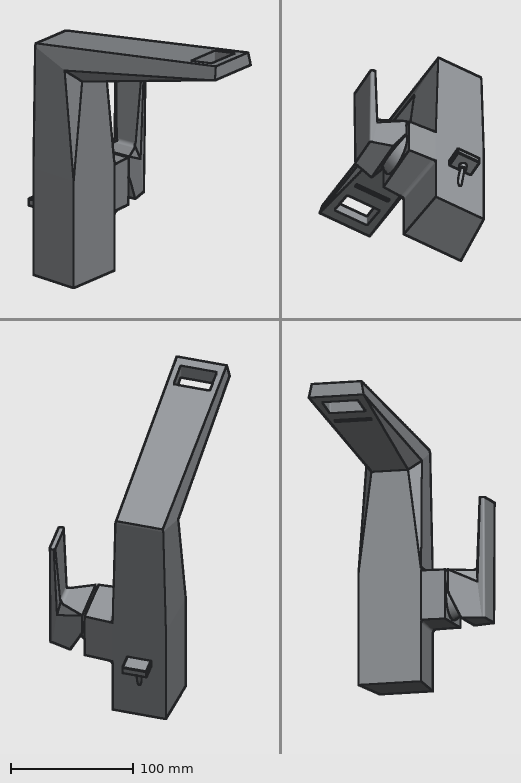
import cadquery as cq
import math


column_depth = 45.5
rear_half_width = 22.5
front_half_width = 26.9
shoulder_height = 92.5
rear_top_half_width = 20.4

band_rear_height = 198.0
top_rear_height = 200.5
top_tip_height = 223.9
band_height = top_rear_height - band_rear_height
band_inset = 0.55
band_rear_inset = 0.34
tip_top_x = 189.5
tip_bottom_x = 190.3
tip_bottom_height = 212.5
tip_bottom_half_width = 23.5
elbow_x = 33.5
elbow_height = 185.5
throat_height = 176.5
throat_half_width = 15.7

window_start_x = 159.0
window_length = 21.3
window_width = 30.7
window_radius = 1.0

outlet_x = 144.5
outlet_size = 2.7
outlet_drop = 0.55

block_bottom = 51.3
block_top = 92.2
block_root_y = 11.2
block_end_y = 46.8
block_end_inset = 1.5
block_flare = 3.0
block_middle_z = (block_bottom + block_top) / 2
middle_x = column_depth / 2
ball_center_y = 39.2
ball_radius = 19.5

handle_outer_y = 78.5
handle_top = 151.8
handle_bottom = 51.7
handle_inner_y = 49.0
handle_base_y = 59.8
handle_knee_height = 73.7
plate_top_half_width = 14.8
plate_bottom_half_width = 13.2
plate_back_radius = 1.8
hub_half_width = 20.4
plate_tip_y = 73.9
plate_root_y = 70.5
hub_fillet = 3.5
seam_y = 72.3
seam_height = 82.0
seam_bottom_y = 76.1
bevel_tip_y = 74.8
bevel_root_half_width = 9.6

knob_length = 15.0
knob_width = 20.5
knob_bottom = 53.3
knob_top = 59.5
knob_chamfer = 0.5
rod_top_x = -5.1
rod_tilt = 18.0
rod_diameter = 3.8
rod_length = 26.9
collar_diameter = 6.3
collar_length = 3.4


def plane_y(p, q, r, x, z):
    """Y at (x, z) on the plane through three points."""
    normal = (cq.Vector(*q) - cq.Vector(*p)).cross(cq.Vector(*r) - cq.Vector(*p))
    return p[1] - (normal.x * (x - p[0]) + normal.z * (z - p[2])) / normal.y


def polygon_face(points):
    return cq.Face.makeFromWires(cq.Wire.makePolygon([cq.Vector(*p) for p in points], close=True))


def mirrored(points):
    return [(x, -y, z) for x, y, z in points]


def column_and_spout():
    """Faceted shell, symmetric about Y = 0; the named corners are those on the +Y side."""
    base_rear = (0, rear_half_width, 0)
    base_front = (column_depth, front_half_width, 0)
    shoulder_rear = (0, rear_half_width, shoulder_height)
    shoulder_front = (column_depth, front_half_width, shoulder_height)
    band_rear = (0, rear_top_half_width, band_rear_height)
    top_rear = (band_rear_inset, rear_top_half_width - band_inset, top_rear_height)
    throat = (column_depth, throat_half_width, throat_height)
    tip_bottom = (tip_bottom_x, tip_bottom_half_width, tip_bottom_height)

    elbow_y = plane_y(shoulder_rear, shoulder_front, band_rear, elbow_x, elbow_height)
    elbow = (elbow_x, elbow_y, elbow_height)

    band_tip_height = top_tip_height - band_height
    end_slope = (tip_top_x - tip_bottom_x) / (top_tip_height - tip_bottom_height)
    band_tip_x = tip_top_x - end_slope * band_height
    band_tip_y = plane_y(band_rear, elbow, tip_bottom, band_tip_x, band_tip_height)
    band_tip = (band_tip_x, band_tip_y, band_tip_height)
    top_tip_y = plane_y(band_rear, top_rear, band_tip, tip_top_x, top_tip_height)
    top_tip = (tip_top_x, top_tip_y, top_tip_height)

    side_faces = [
        [base_rear, base_front, shoulder_front, shoulder_rear],
        [shoulder_rear, shoulder_front, elbow, band_rear],
        [shoulder_front, throat, elbow],
        [elbow, throat, tip_bottom],
        [band_rear, elbow, tip_bottom, band_tip],
        [band_rear, band_tip, top_tip, top_rear],
    ]
    middle_faces = [
        [base_rear, base_front],
        [base_rear, shoulder_rear, band_rear],
        [band_rear, top_rear],
        [base_front, shoulder_front, throat],
        [throat, tip_bottom],
        [tip_bottom, band_tip, top_tip],
        [top_rear, top_tip],
    ]
    outlines = side_faces + [mirrored(points) for points in side_faces]
    outlines += [points + mirrored(points)[::-1] for points in middle_faces]
    shell = cq.Shell.makeShell([polygon_face(points) for points in outlines])
    return cq.Workplane(obj=cq.Solid.makeSolid(shell).fix())


def window():
    return (
        cq.Workplane("XY", origin=(window_start_x + window_length / 2, 0, elbow_height))
        .rect(window_length, window_width)
        .extrude(top_tip_height - elbow_height)
        .edges("|Z")
        .fillet(window_radius)
    )


def outlet_rim():
    underside_slope = (tip_bottom_height - throat_height) / (tip_bottom_x - column_depth)
    underside_z = throat_height + underside_slope * (outlet_x - column_depth)
    return (
        cq.Workplane("XY")
        .box(outlet_size, window_width, 2 * outlet_drop)
        .rotate((0, 0, 0), (0, 1, 0), -math.degrees(math.atan(underside_slope)))
        .translate((outlet_x, 0, underside_z))
    )


def flare(edge_z, away):
    """Concave fillet between the block and the column wall; away is +1 above the block, -1 below."""
    start = (0, rear_half_width - block_flare, edge_z)
    reach = block_flare * (1 - math.sqrt(0.5))
    block_tangent = 2 * block_flare
    profile = (
        cq.Workplane("YZ", origin=start)
        .lineTo(block_tangent, 0)
        .threePointArc((block_flare + reach, away * reach), (block_flare, away * block_flare))
        .lineTo(0, away * block_flare)
        .close()
    )
    along_wall = cq.Vector(column_depth, front_half_width - rear_half_width, 0)
    return cq.Workplane(obj=cq.Solid.extrudeLinear(profile.val(), [], along_wall))


def valve_block():
    block = (
        cq.Workplane("XY", origin=(0, 0, block_bottom))
        .polyline([
            (0, block_root_y),
            (column_depth, block_root_y),
            (column_depth, rear_half_width),
            (column_depth - block_end_inset, block_end_y),
            (block_end_inset, block_end_y),
            (0, rear_half_width),
        ])
        .close()
        .extrude(block_top - block_bottom)
    )
    ball = cq.Workplane("XY").sphere(ball_radius).translate((middle_x, ball_center_y, block_middle_z))
    ball_size = 2 * ball_radius
    beyond_block = (
        cq.Workplane("XY")
        .box(ball_size, ball_size, ball_size, centered=(True, False, True))
        .translate((middle_x, block_end_y, block_middle_z))
    )
    return block.union(ball.intersect(beyond_block))


def cut_both_sides(body, corners):
    """Remove from body what lies outside the plane through three corners, and its mirror image."""
    p, q, r = (cq.Vector(*corner) for corner in corners)
    normal = (q - p).cross(r - p)
    if normal.x < 0:
        normal = normal * -1
    size = 2 * handle_top
    waste = cq.Workplane(cq.Plane(p, q - p, normal)).rect(size, size).extrude(size)
    return body.cut(waste).cut(waste.mirror("YZ"))


def handle():
    """Upright plate on a flared hub, built about X = 0 and then moved in front of the block."""
    plate_profile = [
        (handle_outer_y, handle_bottom),
        (handle_outer_y, handle_top),
        (plate_tip_y, handle_top),
        (plate_root_y, block_top),
        (seam_y, seam_height),
        (seam_bottom_y, handle_bottom),
    ]
    plate = (
        cq.Workplane("YZ", origin=(-plate_top_half_width, 0, 0))
        .polyline(plate_profile)
        .close()
        .extrude(2 * plate_top_half_width)
    )
    bottom_corner = (plate_bottom_half_width, seam_bottom_y, handle_bottom)
    bottom_outer_corner = (plate_bottom_half_width, handle_outer_y, handle_bottom)
    top_corner = (plate_top_half_width, bevel_tip_y, handle_top)
    plate = cut_both_sides(plate, [bottom_outer_corner, bottom_corner, top_corner])
    outer_edges = plate.faces(">Y").edges("not #Z").vals()
    plate = plate.newObject(outer_edges).fillet(plate_back_radius)

    widening = (plate_top_half_width - plate_bottom_half_width) / (handle_top - handle_bottom)
    seam_half_width = plate_bottom_half_width + widening * (seam_height - handle_bottom)
    seam = (seam_half_width, seam_y, seam_height)
    root = (bevel_root_half_width, plate_root_y, block_top)
    plate = cut_both_sides(plate, [seam, root, top_corner])

    hub_profile = [
        (seam_bottom_y, handle_bottom),
        (handle_base_y, handle_bottom),
        (handle_inner_y, handle_knee_height),
        (handle_inner_y, block_top),
        (plate_root_y, block_top),
        (seam_y, seam_height),
    ]
    hub = cq.Workplane("YZ", origin=(-hub_half_width, 0, 0)).polyline(hub_profile).close()
    hub = hub.extrude(2 * hub_half_width)
    flank = (hub_half_width, handle_inner_y, block_top)
    hub = cut_both_sides(hub, [flank, seam, bottom_corner])
    hub = cut_both_sides(hub, [flank, seam, root])
    joint = cq.selectors.BoxSelector(
        (-hub_half_width, plate_root_y - hub_fillet / 2, block_top - hub_fillet / 2),
        (hub_half_width, plate_root_y + hub_fillet / 2, block_top + hub_fillet / 2),
    )
    return plate.union(hub).edges(joint).fillet(hub_fillet).translate((middle_x, 0, 0))


def pop_up_rod():
    knob = (
        cq.Workplane("XY", origin=(0, 0, knob_bottom))
        .box(knob_length, knob_width, knob_top - knob_bottom, centered=(False, True, False))
        .edges()
        .chamfer(knob_chamfer)
        .translate((-knob_length, 0, 0))
    )
    tilt = math.radians(rod_tilt)
    axis = cq.Plane((rod_top_x, 0, knob_bottom), (0, 1, 0), (math.sin(tilt), 0, -math.cos(tilt)))
    sunk = collar_length / 2
    collar = cq.Workplane(axis).workplane(offset=-sunk).circle(collar_diameter / 2)
    rod = cq.Workplane(axis).circle(rod_diameter / 2).extrude(rod_length)
    return knob.union(collar.extrude(sunk + collar_length)).union(rod)


result = (
    column_and_spout()
    .cut(window())
    .union(outlet_rim())
    .union(valve_block())
    .union(flare(block_top, 1))
    .union(flare(block_bottom, -1))
    .union(handle())
    .union(pop_up_rod())
)